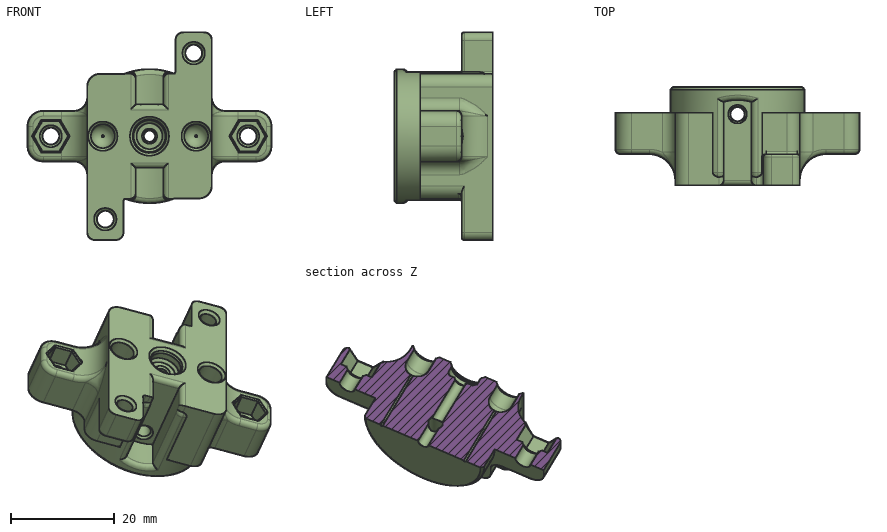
import cadquery as cq
import math


block_width = 24.0
block_depth = 14.0
block_corner = 2.5
disc_radius = 12.92
body_depth = 19.0
disc_back_chamfer = 0.5
disc_front_y = 1.15
disc_front_round = 1.4

plate_height = 40.0
plate_depth = 6.0
tab_inner_x = 5.0
tab_corner = 1.5
tab_root_round = 0.5
tab_back_round = 0.5
tab_back_fillet = 0.6
tab_hole_x = 8.5
tab_hole_z = 16.0
tab_hole_radius = 1.6
tab_hole_chamfer = 0.55

overall_width = 47.0
ear_height = 9.78
ear_corner = 3.0
ear_front_y = plate_depth
ear_cove = 5.0
ear_edge_round = 1.0
ear_root_fillet = 2.5
nut_x = 19.0
nut_flats = 5.75
nut_depth = 4.0
nut_chamfer = 0.3
screw_radius = 1.6
screw_chamfer = 0.5

slot_width = 5.3
slot_floor_z = 6.1
slot_end_y = 16.45
slot_end_radius = 10.0
slot_rim_round = 1.0
cross_hole_y = 13.72
cross_hole_radius = 1.35
cross_hole_chamfer = 0.4

bore_mouth_radius = 3.75
bore_throat_radius = 3.25
bore_throat_depth = 1.0
bore_radius = 3.05
bore_depth = 2.8
bore_floor_radius = 2.5
shaft_radius = 1.1
shaft_chamfer = 0.38

socket_x = 9.0
socket_radius = 2.3
socket_chamfer = 0.5
socket_wall_depth = 3.75
vent_radius = 0.2

margin = 0.05
half_block = block_width / 2
half_plate = plate_height / 2
half_ear = ear_height / 2
half_slot = slot_width / 2


def plane_y(y):
    """Drawing plane across the part at depth y; negative extrusions run toward +Y."""
    return cq.Workplane("XZ", origin=(0, y, 0))


def turned_y(points):
    """Revolve (radius, y) points about the Y axis."""
    return cq.Workplane("XY").polyline(points).close().revolve(360, (0, 0, 0), (0, 1, 0))


def make_block():
    block = plane_y(0).rect(block_width, block_width).extrude(-block_depth)
    return block.edges("|Y").fillet(block_corner)


def make_disc():
    disc = plane_y(disc_front_y).circle(disc_radius).extrude(disc_front_y - body_depth)
    disc = disc.faces("<Y").edges().fillet(disc_front_round)
    return disc.faces(">Y").edges().chamfer(disc_back_chamfer)


def make_plate():
    """Front plate with one tab going up on the right and its half-turn copy going down on the left."""
    half_outline = [
        (-half_block, half_block, block_corner),
        (tab_inner_x, half_block, tab_root_round),
        (tab_inner_x, half_plate, tab_corner),
        (half_block, half_plate, tab_corner),
    ]
    corners = half_outline + [(-x, -z, radius) for x, z, radius in half_outline]
    plate = plane_y(0).polyline([(x, z) for x, z, _ in corners]).close().extrude(-plate_depth)
    for x, z, radius in corners:
        corner = cq.selectors.NearestToPointSelector((x, plate_depth / 2, z))
        plate = plate.edges("|Y").edges(corner).fillet(radius)
    return plate.faces(">Y").edges().fillet(tab_back_round)


def make_tab_roots():
    """Small fillets where the back of each tab meets the block, ending short of the tab's rounded sides."""
    slab = plane_y(0).rect(2 * block_width, 2 * block_width).extrude(-plate_depth).union(make_block())
    reach = half_block + margin
    meeting_line = cq.selectors.BoxSelector(
        (-reach, plate_depth - margin, -reach), (reach, plate_depth + margin, reach), boundingbox=True
    )
    slab = slab.edges(meeting_line).fillet(tab_back_fillet)
    fillet_x_start = tab_inner_x + tab_back_round
    window = cq.Workplane("XY", origin=(fillet_x_start, plate_depth, 0)).box(
        half_block - tab_back_round - fillet_x_start,
        tab_back_fillet,
        half_plate,
        centered=False,
    )
    root = slab.intersect(window)
    return root.union(root.rotate((0, 0, 0), (0, 1, 0), 180))


def make_ear():
    """Ear on the +X side, with a concave cove sweeping into the block."""
    tip_x = overall_width / 2
    cove_x = half_block + ear_cove
    cove_y = ear_front_y - ear_cove
    diagonal = ear_cove * math.sqrt(0.5)
    ear = (
        cq.Workplane("XY", origin=(0, 0, -half_ear))
        .moveTo(half_block, block_depth)
        .lineTo(tip_x, block_depth)
        .lineTo(tip_x, ear_front_y)
        .lineTo(cove_x, ear_front_y)
        .threePointArc((cove_x - diagonal, cove_y + diagonal), (half_block, cove_y))
        .close()
        .extrude(ear_height)
    )
    ear = ear.edges(">X").edges("|Y").fillet(ear_corner)
    front_edge = cq.selectors.NearestToPointSelector((nut_x, ear_front_y, half_ear))
    return ear.edges(front_edge).fillet(ear_edge_round)


def make_rounded_body():
    """Join the disc to the block; ahead of the block's rear face it stays within the block's width."""
    disc = make_disc()
    ahead = cq.Workplane("XY").box(2 * block_width, block_depth, 2 * block_width, centered=(True, False, True))
    within = cq.Workplane("XY").box(block_width, block_depth, 2 * block_width, centered=(True, False, True))
    return make_block().union(disc.cut(ahead)).union(disc.intersect(within))


def add_ears(body):
    ear = make_ear()
    body = body.union(ear).union(ear.mirror("YZ"))
    for x in (-half_block, half_block):
        for z in (-half_ear, half_ear):
            root = cq.selectors.NearestToPointSelector((x, (ear_front_y + block_depth) / 2, z))
            body = body.edges("|Y").edges(root).fillet(ear_root_fillet)
    return body


def slot_edge_box(sign, z_low, z_high, y_high):
    """Select edges no wider than a slot, between two heights and up to y_high."""
    reach = half_slot + margin
    return cq.selectors.BoxSelector(
        (-reach, -margin, sign * z_low), (reach, y_high, sign * z_high), boundingbox=False
    )


def cut_slots(body):
    end_side_y = slot_end_y - slot_end_radius + math.sqrt(slot_end_radius**2 - half_slot**2)
    for sign in (1, -1):
        floor = cq.Workplane("XY", origin=(0, 0, sign * slot_floor_z))
        slot = (
            floor.moveTo(-half_slot, 0)
            .lineTo(half_slot, 0)
            .lineTo(half_slot, end_side_y)
            .threePointArc((0, slot_end_y), (-half_slot, end_side_y))
            .close()
            .extrude(sign * block_width)
        )
        body = body.cut(slot)
        rim = slot_edge_box(sign, half_block - margin, plate_height, body_depth)
        front = slot_edge_box(sign, 0, plate_height, margin)
        body = body.edges(rim + front).fillet(slot_rim_round)
    return body


def cut_cross_hole(body):
    """Vertical hole joining the two slot floors, chamfered at both ends."""
    mouth = cross_hole_radius + cross_hole_chamfer
    profile = [
        (0, -slot_floor_z),
        (mouth, -slot_floor_z),
        (cross_hole_radius, cross_hole_chamfer - slot_floor_z),
        (cross_hole_radius, slot_floor_z - cross_hole_chamfer),
        (mouth, slot_floor_z),
        (0, slot_floor_z),
    ]
    hole = cq.Workplane("XZ").polyline(profile).close().revolve(360, (0, 0, 0), (0, 1, 0))
    return body.cut(hole.translate((0, cross_hole_y, 0)))


def chamfered_hole(radius, chamfer, y_start, y_end):
    """Cutter for a hole along Y, chamfered at y_start."""
    return turned_y([
        (0, y_start),
        (radius + chamfer, y_start),
        (radius, y_start + chamfer),
        (radius, y_end),
        (0, y_end),
    ])


def cut_central_bore(body):
    bore = turned_y([
        (0, 0),
        (bore_mouth_radius, 0),
        (bore_throat_radius, bore_mouth_radius - bore_throat_radius),
        (bore_radius, bore_throat_depth),
        (bore_radius, bore_depth - bore_radius + bore_floor_radius),
        (bore_floor_radius, bore_depth),
        (0, bore_depth),
    ])
    shaft = chamfered_hole(shaft_radius, shaft_chamfer, bore_depth, body_depth)
    return body.cut(bore).cut(shaft)


def cut_sockets(body):
    """Hemispherical-bottomed sockets, each with a fine vent running out through the back."""
    wall = chamfered_hole(socket_radius, socket_chamfer, 0, socket_wall_depth)
    ball = cq.Workplane("XY").sphere(socket_radius).translate((0, socket_wall_depth, 0))
    vent = plane_y(0).circle(vent_radius).extrude(-body_depth)
    socket = wall.union(ball).union(vent)
    for x in (-socket_x, socket_x):
        body = body.cut(socket.translate((x, 0, 0)))
    return body


def cut_ear_holes(body):
    """Hexagonal nut pockets with screw holes; a lead-in clears the cove in front of each pocket."""
    flats_to_corners = 1 / math.cos(math.pi / 6)
    corner_diameter = nut_flats * flats_to_corners
    mouth_diameter = (nut_flats + 2 * nut_chamfer) * flats_to_corners
    floor_y = ear_front_y + nut_depth
    pocket = plane_y(ear_front_y).polygon(6, corner_diameter).extrude(-nut_depth)
    mouth = (
        plane_y(ear_front_y)
        .polygon(6, mouth_diameter)
        .workplane(offset=-nut_chamfer)
        .polygon(6, corner_diameter)
        .loft()
    )
    screw = chamfered_hole(screw_radius, screw_chamfer, floor_y, block_depth)
    lead_in = plane_y(ear_front_y).polygon(6, mouth_diameter).extrude(ear_cove)
    cutter = pocket.union(mouth).union(lead_in).union(screw)
    for x in (-nut_x, nut_x):
        body = body.cut(cutter.translate((x, 0, 0)))
    return body


def cut_tab_holes(body):
    hole = chamfered_hole(tab_hole_radius, tab_hole_chamfer, 0, plate_depth)
    for sign in (1, -1):
        body = body.cut(hole.translate((sign * tab_hole_x, 0, sign * tab_hole_z)))
    return body


body = add_ears(make_rounded_body()).union(make_plate()).union(make_tab_roots())
for cut in (cut_slots, cut_cross_hole, cut_central_bore, cut_sockets, cut_ear_holes, cut_tab_holes):
    body = cut(body)
result = body